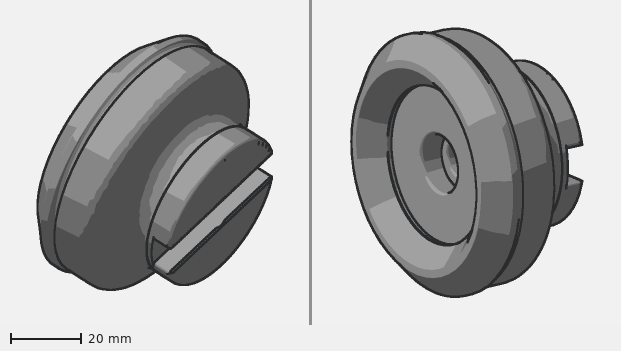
import cadquery as cq
import math


rim_radius = 76.11 / 2
rim_start = 6.5
lip_outer_radius = rim_radius - rim_start
lip_inner_radius = 29.1
seat_radius = 23.1
inner_cone_depth = 6.6
ring_end = 10.75
back_arc_radius = 2.2
ring_edge_round = 0.3

hub_end = 42.0
hub_face = 8.0
body_radius = 74 / 2
neck_radius = 47.6 / 2
shank_radius = 48 / 2
flank_angle = math.radians(60)
flank_top_round = 4.0
neck_round = 6.0
neck_arc_end = 33.0
shank_start = 33.85
shank_end_round = 1.5

bore_radius = 11 / 2
bore_round = 0.75
counterbore_radius = 17 / 2
counterbore_floor = hub_face + 7.0
counterbore_round = 1.0

slot_width = 10.4
slot_depth = 6.2
slot_corner_round = 1.0
slot_end_chamfer = 0.6

tolerance = 0.001


def turn(outline):
    """Close an outline drawn as (x, radius) and turn it a full circle about the X axis."""
    return outline.close().revolve(360, (0, 0, 0), (1, 0, 0))


def round_circle(body, x, radius, size):
    """Round the circular edge of the given radius that lies at x."""

    def is_wanted(edge):
        return (
            edge.geomType() == "CIRCLE"
            and abs(edge.Center().x - x) < tolerance
            and abs(edge.radius() - radius) < tolerance
        )

    return body.edges().filter(is_wanted).fillet(size)


def make_ring():
    """Cup ring with an inner and an outer cone, seated on the hub spigot."""
    arc_sum = back_arc_radius + ring_edge_round
    back_angle = math.acos(1 - (rim_radius - body_radius) / arc_sum)
    rim_end = ring_end - arc_sum * math.sin(back_angle)

    def rim_round_point(angle):
        return (
            rim_end + ring_edge_round * math.sin(angle),
            rim_radius - ring_edge_round * (1 - math.cos(angle)),
        )

    def hollow_point(angle):
        return (
            ring_end - back_arc_radius * math.sin(angle),
            body_radius + back_arc_radius * (1 - math.cos(angle)),
        )

    outline = (
        cq.Workplane("XY")
        .moveTo(inner_cone_depth, seat_radius)
        .lineTo(0, lip_inner_radius)
        .lineTo(0, lip_outer_radius)
        .lineTo(rim_start, rim_radius)
        .lineTo(rim_end, rim_radius)
        .threePointArc(rim_round_point(back_angle / 2), rim_round_point(back_angle))
        .threePointArc(hollow_point(back_angle / 2), (ring_end, body_radius))
        .lineTo(ring_end, seat_radius)
    )
    ring = turn(outline)
    for x, radius in (
        (0, lip_inner_radius),
        (0, lip_outer_radius),
        (rim_start, rim_radius),
        (inner_cone_depth, seat_radius),
    ):
        ring = round_circle(ring, x, radius, ring_edge_round)
    return ring


def make_hub_blank():
    """Turned hub: spigot, body, conical flank, neck, shank and the stepped screw hole."""
    neck_corner = neck_arc_end - neck_round * math.tan(flank_angle / 2)
    body_corner = neck_corner - (body_radius - neck_radius) / math.tan(flank_angle)
    outline = cq.Workplane("XY").polyline([
        (hub_face, counterbore_radius),
        (hub_face, seat_radius),
        (ring_end, seat_radius),
        (ring_end, body_radius),
        (body_corner, body_radius),
        (neck_corner, neck_radius),
        (shank_start, neck_radius),
        (shank_start, shank_radius),
        (hub_end, shank_radius),
        (hub_end, bore_radius),
        (counterbore_floor, bore_radius),
        (counterbore_floor, counterbore_radius),
    ])
    hub = turn(outline)
    hub = round_circle(hub, body_corner, body_radius, flank_top_round)
    hub = round_circle(hub, neck_corner, neck_radius, neck_round)
    hub = round_circle(hub, hub_face, counterbore_radius, counterbore_round)
    hub = round_circle(hub, counterbore_floor, bore_radius, bore_round)
    hub = round_circle(hub, hub_end, shank_radius, shank_end_round)
    return hub


def make_slot_cutter():
    """Slot along Y through the shank end, eased at its outer corners and along its end edges."""
    shank_end = (
        cq.Workplane("YZ", origin=(hub_end - slot_depth, 0, 0))
        .circle(shank_radius)
        .extrude(slot_depth)
    )
    slot = cq.Workplane("XY").box(2 * hub_end, 2 * body_radius, slot_width)
    corner_y = math.sqrt(shank_radius ** 2 - (slot_width / 2) ** 2)

    def is_outer_corner(edge):
        return abs(abs(edge.Center().y) - corner_y) < tolerance

    jaws = shank_end.cut(slot).edges("|X").filter(is_outer_corner).fillet(slot_corner_round)

    flare_half_width = slot_width / 2 + slot_end_chamfer
    flare = (
        cq.Workplane("XZ")
        .polyline([
            (hub_end, -flare_half_width),
            (hub_end, flare_half_width),
            (hub_end - flare_half_width, 0),
        ])
        .close()
        .extrude(body_radius, both=True)
    )
    return shank_end.cut(jaws.cut(flare))


ring = make_ring()
hub = make_hub_blank().cut(make_slot_cutter())

result = cq.Compound.makeCompound([ring.val(), hub.val()])